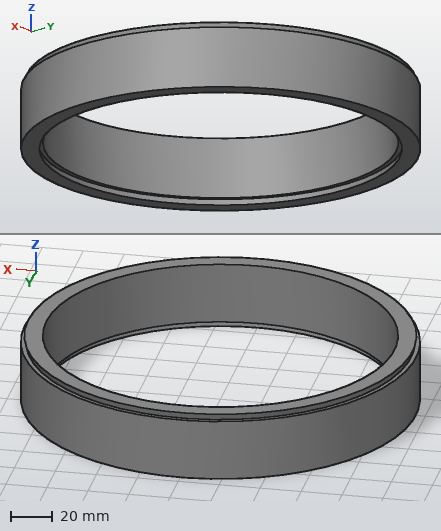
import cadquery as cq

outer_diameter = 191.0
bore_diameter = 170.0
total_height = 33.0
ring_height = 30.0

cone_top_radius = 93.8
cone_bottom_radius = 86.7
cone_slope = (cone_top_radius - cone_bottom_radius) / total_height

inner_ring_bottom = total_height - ring_height


def cone_radius(z):
    """Radius of the shared cone at height z."""
    return cone_bottom_radius + cone_slope * z


def revolve_section(points):
    """Turn a closed (radius, height) section about the Z axis."""
    return cq.Workplane("XZ").polyline(points).close().revolve(360, (0, 0), (0, 1))


def make_outer_ring():
    """Cylindrical ring with a tapered bore."""
    outer_radius = outer_diameter / 2
    return revolve_section([
        (cone_radius(0), 0),
        (outer_radius, 0),
        (outer_radius, ring_height),
        (cone_radius(ring_height), ring_height),
    ])


def make_inner_ring():
    """Wedge ring with a straight bore and a tapered outside."""
    bore_radius = bore_diameter / 2
    return revolve_section([
        (bore_radius, inner_ring_bottom),
        (cone_radius(inner_ring_bottom), inner_ring_bottom),
        (cone_radius(total_height), total_height),
        (bore_radius, total_height),
    ])


outer_ring = make_outer_ring()
inner_ring = make_inner_ring()
result = cq.Compound.makeCompound([outer_ring.val(), inner_ring.val()])